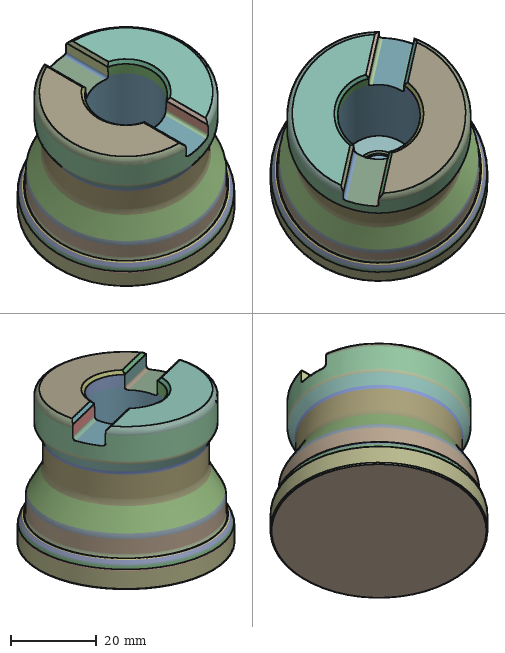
import cadquery as cq
import math

base_radius = 25.4
base_height = 5.25
base_bottom_chamfer = 0.3
base_top_round = 0.35
recess_diameter = 10.5
recess_depth = 1.5
recess_chamfer = 0.45

total_height = 39.9
flange_radius = 25.25
flange_top = 7.5
flange_corner_radius = 25.05
flange_corner_height = 6.2
flange_corner_round = 1.4
rim_outer_radius = 24.25
rim_inner_radius = 23.95
rim_round = 0.5
groove_radius = 23.65
groove_bottom = 7.2
shoulder_radius = 47.0 / 2
shoulder_foot = 8.35
shoulder_flare = 0.15
shoulder_top = 12.95
shoulder_round = 2.65
neck_radius = 39.0 / 2
neck_top = 27.55
neck_lower_fillet = 3.15
neck_upper_fillet = 1.75
head_radius = 43.0 / 2
head_lower_round = 1.75
head_top_drop = 1.75
head_top_inset = 1.2
cone_angle = math.radians(30)

bore_diameter = 19.05
bore_chamfer = 0.8
bore_lead_in_diameter = 19.25
bore_lead_in_length = 3.2
slot_width = 8.4
slot_depth = 4.8
slot_floor_fillet = 0.8
slot_edge_chamfer = 0.8

neck_bottom = shoulder_top + (shoulder_radius - neck_radius) / math.tan(cone_angle)
head_bottom = neck_top + (head_radius - neck_radius) / math.tan(cone_angle)


def make_base():
    plate = cq.Workplane("XY").circle(base_radius).extrude(base_height)
    plate = plate.faces("<Z").edges().chamfer(base_bottom_chamfer)
    plate = plate.faces(">Z").edges().fillet(base_top_round)
    recess = (
        cq.Workplane("XY")
        .workplane(offset=base_height - recess_depth)
        .circle(recess_diameter / 2)
        .extrude(recess_depth)
    )
    plate = plate.cut(recess)
    rim = cq.selectors.RadiusNthSelector(0)
    return plate.faces(">Z").edges(rim).chamfer(recess_chamfer)


def round_ring(body, radius, height, fillet_radius):
    """Round the circular edge that has the given radius and height."""
    near = 0.005
    edge_box = cq.selectors.BoxSelector(
        (-radius - near, -radius - near, height - near),
        (radius + near, radius + near, height + near),
        boundingbox=True,
    )
    edges = body.edges(edge_box).edges(cq.selectors.RadiusNthSelector(-1))
    return edges.fillet(fillet_radius)


def make_turned_body():
    flare_middle = (shoulder_radius + shoulder_flare / 4, (flange_top + shoulder_foot) / 2)
    body = (
        cq.Workplane("XZ")
        .moveTo(0, base_height)
        .lineTo(flange_radius, base_height)
        .lineTo(flange_corner_radius, flange_corner_height)
        .lineTo(rim_outer_radius, flange_top)
        .lineTo(rim_inner_radius, flange_top)
        .lineTo(groove_radius, groove_bottom)
        .lineTo(shoulder_radius + shoulder_flare, flange_top)
        .threePointArc(flare_middle, (shoulder_radius, shoulder_foot))
        .lineTo(shoulder_radius, shoulder_top)
        .lineTo(neck_radius, neck_bottom)
        .lineTo(neck_radius, neck_top)
        .lineTo(head_radius, head_bottom)
        .lineTo(head_radius, total_height - head_top_drop)
        .tangentArcPoint((head_radius - head_top_inset, total_height), relative=False)
        .lineTo(0, total_height)
        .close()
        .revolve(360, (0, 0, 0), (0, 1, 0))
    )
    body = round_ring(body, flange_corner_radius, flange_corner_height, flange_corner_round)
    body = round_ring(body, rim_outer_radius, flange_top, rim_round)
    body = round_ring(body, shoulder_radius, shoulder_top, shoulder_round)
    body = round_ring(body, neck_radius, neck_bottom, neck_lower_fillet)
    body = round_ring(body, neck_radius, neck_top, neck_upper_fillet)
    return round_ring(body, head_radius, head_bottom, head_lower_round)


def make_bore():
    bore_radius = bore_diameter / 2
    lead_in_radius = bore_lead_in_diameter / 2
    lead_in_top = total_height - bore_chamfer
    return (
        cq.Workplane("XZ")
        .moveTo(0, base_height)
        .lineTo(bore_radius, base_height)
        .lineTo(bore_radius, lead_in_top - bore_lead_in_length)
        .lineTo(lead_in_radius, lead_in_top)
        .lineTo(lead_in_radius + bore_chamfer, total_height)
        .lineTo(0, total_height)
        .close()
        .revolve(360, (0, 0, 0), (0, 1, 0))
    )


def make_slot():
    half_width = slot_width / 2
    floor = total_height - slot_depth
    slot = (
        cq.Workplane("YZ")
        .moveTo(-half_width, floor)
        .lineTo(half_width, floor)
        .lineTo(half_width, total_height - slot_edge_chamfer)
        .lineTo(half_width + slot_edge_chamfer, total_height)
        .lineTo(-half_width - slot_edge_chamfer, total_height)
        .lineTo(-half_width, total_height - slot_edge_chamfer)
        .close()
        .extrude(base_radius, both=True)
    )
    return slot.faces("<Z").edges("|X").fillet(slot_floor_fillet)


base = make_base()
adapter = make_turned_body().cut(make_bore()).cut(make_slot())
result = cq.Compound.makeCompound([base.val(), adapter.val()])